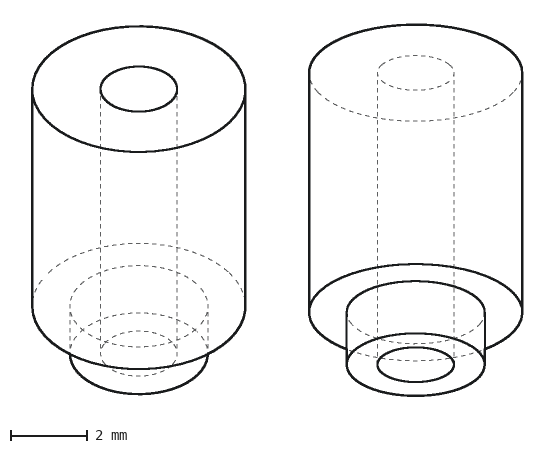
import cadquery as cq

total_height = 8.53
body_diameter = 5.56
spigot_diameter = 3.6
spigot_height = 1.53
bore_diameter = 2.0

body_height = total_height - spigot_height

spigot = cq.Workplane("XY").circle(spigot_diameter / 2).extrude(spigot_height)

body = (
    cq.Workplane("XY")
    .workplane(offset=spigot_height)
    .circle(body_diameter / 2)
    .extrude(body_height)
)

bore = cq.Workplane("XY").circle(bore_diameter / 2).extrude(total_height)

result = spigot.union(body).cut(bore)